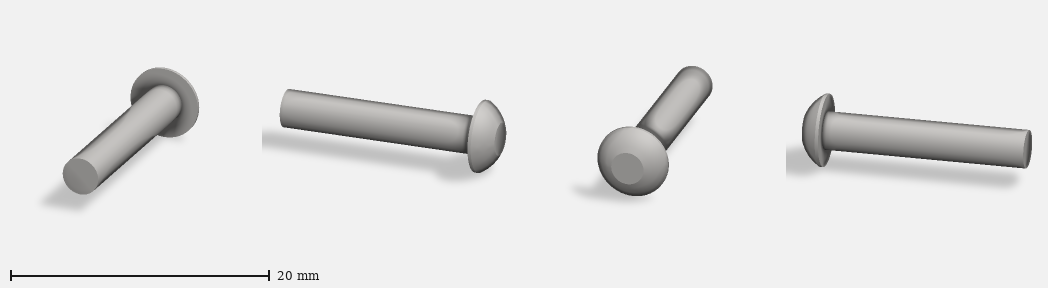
import cadquery as cq
import math

total_length = 17.65
shank_diameter = 3.0
head_diameter = 5.7
head_height = 1.66
rim_height = 0.26
crown_diameter = 2.61

shank_radius = shank_diameter / 2
head_radius = head_diameter / 2
crown_radius = crown_diameter / 2

rim_top = rim_height
shank_end = head_height - total_length

dome_center = (
    crown_radius**2 + head_height**2 - head_radius**2 - rim_top**2
) / (2 * (head_height - rim_top))
dome_radius = math.hypot(head_radius, rim_top - dome_center)
dome_mid_angle = (
    math.atan2(rim_top - dome_center, head_radius)
    + math.atan2(head_height - dome_center, crown_radius)
) / 2
dome_mid_point = (
    dome_radius * math.cos(dome_mid_angle),
    dome_center + dome_radius * math.sin(dome_mid_angle),
)

half_profile = (
    cq.Workplane("XY")
    .moveTo(0, shank_end)
    .lineTo(shank_radius, shank_end)
    .lineTo(shank_radius, 0)
    .lineTo(head_radius, 0)
    .lineTo(head_radius, rim_top)
    .threePointArc(dome_mid_point, (crown_radius, head_height))
    .lineTo(0, head_height)
    .close()
)

result = half_profile.revolve(360, (0, 0, 0), (0, 1, 0))